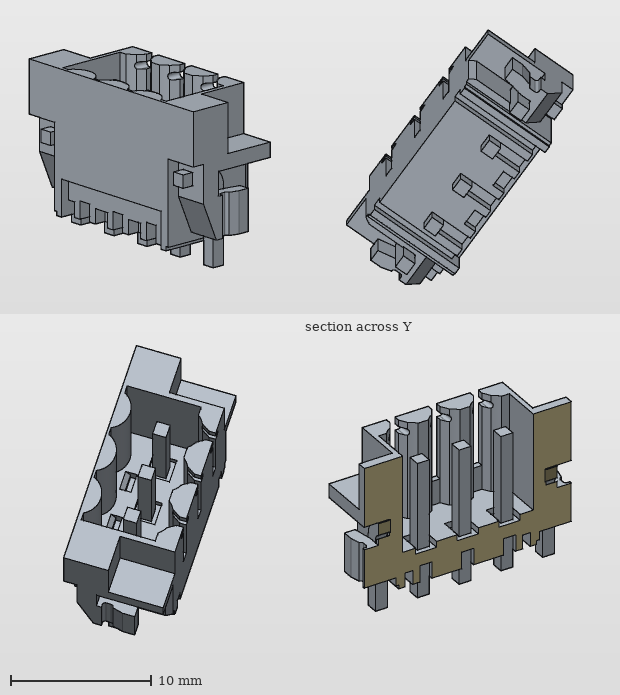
import cadquery as cq
import math


ways = 3
pitch = 3.5
pin_width = 1.0
pin_protrusion = 1.5
way_positions = [(i - (ways - 1) / 2) * pitch for i in range(ways)]
gap_positions = [(i - (ways - 2) / 2) * pitch for i in range(ways - 1)]

length = 17.35
height = 11.05
front = -3.5
back = 3.95
half_length = length / 2

shroud_half = 5.88
body_half = 6.02
foot_half = 5.77
foot_height = 0.32

ear_back = -0.15
flange_top = 7.24
flange_bottom = 6.09
ear_bottom = 1.0
column_back = -1.04
column_front = -2.51
notch_top = 6.92
slope_top = 3.94
slope_foot = -1.27

block_half = 6.57
block_chamfer_x = 0.28
block_chamfer_y = 0.475

clip_top = 4.24
clip_back = 1.82
clip_bevel_start = 0.92
clip_bevel_depth = 0.2
clip_groove_back = 0.14
clip_groove_front = -0.67
clip_groove_radius = 0.22
clip_lead_width = 0.29
clip_lead_end = 0.22

anchor_x = 7.0
anchor_z = 5.55
anchor_front = -3.41
bend_inner = 0.54
bend_outer = bend_inner + pin_width
bend_y = pin_width / 2 - bend_outer
bend_z = anchor_z + pin_width / 2 - bend_outer
anchor_seat_gap = 0.1
anchor_seat_shoulder = 4.55
anchor_seat_top = 4.9

contact_top = 9.75

cavity_half = 5.47
cavity_floor = 3.0
cavity_back = 2.355
cavity_end_front = -3.18
cavity_front = -3.3
rib_radius = 1.625
rib_peak = -2.345
keyway_half_mouth = 1.32
keyway_half_shoulder = 0.74
keyway_shoulder = 2.83
keyway_arc_centre = 1.335
keyway_end = 3.45
keyway_half_slot = 0.35
keyway_slot_bottom = 5.0
window_half = 0.87
window_bottom = 9.95
window_height = 0.55

contact_recess_width = 1.75
contact_recess_depth = 0.5
pocket_width = 1.435
pocket_back = -1.5
pocket_front = -1.98
pocket_chamfer = 0.37
pocket_depth = 0.8

recess_half = 5.25
recess_height = 2.85
recess_depth = 0.65
recess_face = front + recess_depth
comb_half = 4.61
comb_slot_height = 1.16
comb_slot_width = 1.28
comb_slot_depth = 0.95
contact_slot_height = 1.37


def box(x0, x1, y0, y1, z0, z1):
    """Axis-aligned block between two opposite corners."""
    return cq.Workplane("XY").box(x1 - x0, y1 - y0, z1 - z0, centered=False).translate((x0, y0, z0))


def mirrored_pair(shape):
    """The shape together with its mirror image on the other side of X = 0."""
    return [shape, shape.mirror("YZ")]


def make_body():
    body = box(-shroud_half, shroud_half, front, back, 0, height)
    body = body.union(box(-body_half, body_half, front, back, foot_height, flange_top))
    step = box(foot_half, half_length, front, back, 0, foot_height)
    for cutter in mirrored_pair(step):
        body = body.cut(cutter)
    return body


def make_ear():
    """Upper ear, rear flange and tapered front column, as one profile along X."""
    outline = [
        (front, height),
        (ear_back, height),
        (ear_back, flange_top),
        (back, flange_top),
        (back, flange_bottom),
        (column_back, flange_bottom),
        (column_back, ear_bottom),
        (slope_foot, ear_bottom),
        (column_front, slope_top),
        (column_front, notch_top),
        (front, notch_top),
    ]
    return (
        cq.Workplane("YZ")
        .polyline(outline)
        .close()
        .extrude(half_length - shroud_half)
        .translate((shroud_half, 0, 0))
    )


def make_side_block():
    """Block under the flange with its rear corner bevelled."""
    outline = [
        (0, column_back),
        (block_half, column_back),
        (block_half, back - block_chamfer_y),
        (block_half - block_chamfer_x, back),
        (0, back),
    ]
    return (
        cq.Workplane("XY", origin=(0, 0, ear_bottom))
        .polyline(outline)
        .close()
        .extrude(flange_bottom - ear_bottom)
    )


def make_clip():
    """Clip outside the anchor pin, with a rounded groove down its outer face."""
    inner = anchor_x + pin_width / 2
    lip = half_length - clip_bevel_depth
    groove_floor = lip - clip_groove_radius
    arc_reach = clip_groove_radius * (1 - math.sqrt(0.5))
    return (
        cq.Workplane("XY", origin=(0, 0, ear_bottom))
        .moveTo(half_length, clip_back)
        .lineTo(half_length, clip_bevel_start)
        .lineTo(lip, clip_groove_back)
        .threePointArc(
            (groove_floor + arc_reach, clip_groove_back - arc_reach),
            (groove_floor, clip_groove_back - clip_groove_radius),
        )
        .lineTo(groove_floor, clip_groove_front + clip_groove_radius)
        .threePointArc(
            (groove_floor + arc_reach, clip_groove_front + arc_reach),
            (lip, clip_groove_front),
        )
        .lineTo(half_length, clip_groove_front)
        .lineTo(half_length, column_back)
        .lineTo(inner, column_back)
        .lineTo(inner, clip_lead_end)
        .lineTo(inner + clip_lead_width, clip_back)
        .close()
        .extrude(clip_top - ear_bottom)
    )


def make_anchor_seat():
    """Bevelled rib on the column, just inside the bend of the anchor pin."""
    seat_back = -pin_width / 2 - anchor_seat_gap
    outline = [
        (column_back, ear_bottom),
        (seat_back, ear_bottom),
        (seat_back, anchor_seat_shoulder),
        (column_back, anchor_seat_top),
    ]
    seat_width = anchor_x + pin_width / 2 - block_half
    return cq.Workplane("YZ", origin=(block_half, 0, 0)).polyline(outline).close().extrude(seat_width)


def make_rib(x):
    """Round rib down the front wall of the cavity."""
    return (
        cq.Workplane("XY", origin=(x, rib_peak - rib_radius, cavity_floor))
        .circle(rib_radius)
        .extrude(height - cavity_floor)
    )


def make_keyway(x):
    """Tapering channel in the rear wall of the cavity, from the floor to the top."""
    arc_radius = math.hypot(keyway_half_shoulder, keyway_shoulder - keyway_arc_centre)
    arc_mid_x = (keyway_half_mouth + keyway_half_shoulder) / 2
    arc_mid_y = keyway_arc_centre + math.sqrt(arc_radius**2 - arc_mid_x**2)
    return (
        cq.Workplane("XY", origin=(x, 0, cavity_floor))
        .moveTo(-keyway_half_mouth, cavity_back)
        .threePointArc((-arc_mid_x, arc_mid_y), (-keyway_half_shoulder, keyway_shoulder))
        .lineTo(-keyway_half_slot, keyway_end)
        .lineTo(keyway_half_slot, keyway_end)
        .lineTo(keyway_half_shoulder, keyway_shoulder)
        .threePointArc((arc_mid_x, arc_mid_y), (keyway_half_mouth, cavity_back))
        .close()
        .extrude(height - cavity_floor)
    )


def make_window(x):
    """Slot down through the rear wall, crossed by a wider round-ended window near the top."""
    slot = box(x - keyway_half_slot, x + keyway_half_slot, cavity_back, back, keyway_slot_bottom, height)
    window = (
        cq.Workplane("XZ", origin=(x, back, window_bottom + window_height / 2))
        .slot2D(2 * window_half, window_height)
        .extrude(back - cavity_back)
    )
    return slot.union(window)


def make_cavity():
    cavity = box(-cavity_half, cavity_half, cavity_end_front, cavity_back, cavity_floor, height)
    inner_half = way_positions[-1]
    cavity = cavity.union(box(-inner_half, inner_half, cavity_front, cavity_back, cavity_floor, height))
    for x in way_positions:
        cavity = cavity.cut(make_rib(x))
    for x in way_positions:
        cavity = cavity.union(make_keyway(x)).union(make_window(x))
    return cavity


def make_contact_recess(x):
    """Square well around a contact pin."""
    half = contact_recess_width / 2
    return box(x - half, x + half, -half, half, cavity_floor - contact_recess_depth, cavity_floor)


def make_floor_pocket(x):
    """Blind pocket between two contact pins with a 45 degree lead-in at its front edge."""
    outline = [
        (pocket_back, cavity_floor),
        (pocket_front - pocket_chamfer, cavity_floor),
        (pocket_front, cavity_floor - pocket_chamfer),
        (pocket_front, cavity_floor - pocket_depth),
        (pocket_back, cavity_floor - pocket_depth),
    ]
    return (
        cq.Workplane("YZ", origin=(x - pocket_width / 2, 0, 0))
        .polyline(outline)
        .close()
        .extrude(pocket_width)
    )


def make_comb_slot(x):
    """Blind slot in the recessed front face, between two contact pins."""
    half = comb_slot_width / 2
    return box(x - half, x + half, front, recess_face + comb_slot_depth, 0, comb_slot_height)


def make_contact_slot(x):
    """Slot from the recessed front face back to a contact pin."""
    half = pin_width / 2
    return box(x - half, x + half, front, half, 0, contact_slot_height)


def make_housing():
    housing = make_body()
    for feature in (make_ear(), make_side_block(), make_clip(), make_anchor_seat()):
        for copy in mirrored_pair(feature):
            housing = housing.union(copy)
    housing = housing.cut(make_cavity())
    for x in way_positions:
        housing = housing.cut(make_contact_recess(x))
    for x in gap_positions:
        housing = housing.cut(make_floor_pocket(x))

    housing = housing.cut(box(-recess_half, recess_half, front, recess_face, 0, recess_height))
    for channel in mirrored_pair(box(comb_half, recess_half, front, back, 0, comb_slot_height)):
        housing = housing.cut(channel)
    for x in gap_positions:
        housing = housing.cut(make_comb_slot(x))
    for x in way_positions:
        housing = housing.cut(make_contact_slot(x))
    return housing


def make_contact_pin(x):
    """Straight square pin."""
    half = pin_width / 2
    return box(x - half, x + half, -half, half, -pin_protrusion, contact_top)


def make_anchor_pin(x):
    """Square pin that rises at Y = 0 and bends forward through the column."""
    half = pin_width / 2
    outer_reach = bend_outer * math.sqrt(0.5)
    inner_reach = bend_inner * math.sqrt(0.5)
    return (
        cq.Workplane("YZ", origin=(x - half, 0, 0))
        .moveTo(-half, -pin_protrusion)
        .lineTo(half, -pin_protrusion)
        .lineTo(half, bend_z)
        .threePointArc((bend_y + outer_reach, bend_z + outer_reach), (bend_y, bend_z + bend_outer))
        .lineTo(anchor_front, bend_z + bend_outer)
        .lineTo(anchor_front, bend_z + bend_inner)
        .lineTo(bend_y, bend_z + bend_inner)
        .threePointArc((bend_y + inner_reach, bend_z + inner_reach), (-half, bend_z))
        .close()
        .extrude(pin_width)
    )


contact_pins = [make_contact_pin(x) for x in way_positions]
anchor_pins = [make_anchor_pin(x) for x in (-anchor_x, anchor_x)]
housing = make_housing()
for pin in contact_pins + anchor_pins:
    housing = housing.cut(pin)

result = cq.Compound.makeCompound(
    [
        housing.val(),
        *[pin.val() for pin in contact_pins],
        *[pin.val() for pin in anchor_pins],
    ]
)